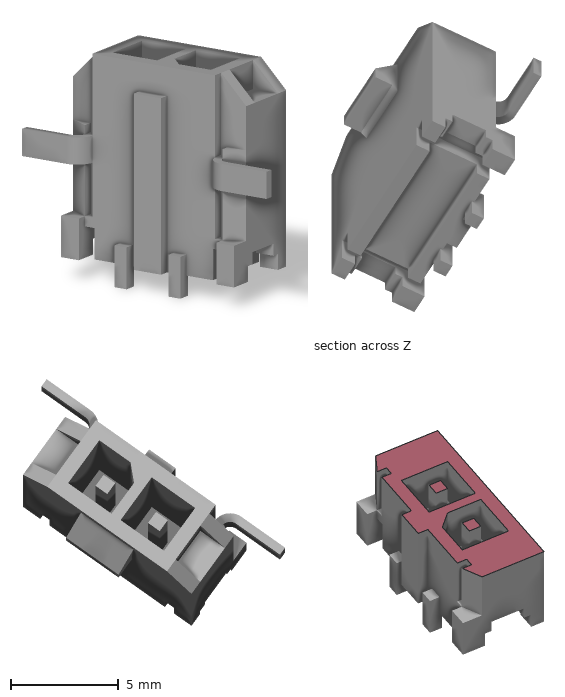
import cadquery as cq
import math


body_width = 9.65
body_height = 9.91
core_width = 6.85
core_depth = 3.88
wing_depth = 3.37
wing_width = (body_width - core_width) / 2
shoulder_z = body_height - wing_width
front_y = -4.4

shoulder_wall = 0.7
shoulder_pocket_depth = 1.97

pitch = 3.0
contact_width = 0.67
contact_depth = 0.64
cavity_width = 2.48
cavity_y = -1.95
cavity_floor_z = 2.0
key_chamfer = 0.7
post_top_z = 7.92
tail_top_z = 1.02
tail_bottom_z = -1.0

rib_width = 1.52

tab_span = 13.65
tab_thickness = 0.41
tab_front_y = -4.68
tab_bend_radius = 0.9
tab_bottom_z = 4.64
tab_height = 1.31

gusset_inner_x = core_width / 2 + tab_thickness
gusset_top_z = 6.4
foot_top_z = 2.0

notch_inner_x = 3.3
notch_height = 1.52
recess_back_y = -0.7
recess_front_y = -3.21
recess_height = 0.76
window_back_y = -1.06
window_front_y = -2.84
window_height = 1.35

latch_width = 3.0
latch_reach = 1.19
latch_top_z = 9.38
latch_lip_z = 8.14
latch_bottom_z = 7.38
latch_root_chamfer = 0.29


def box(x_range, y_range, z_range):
    """Axis-aligned block between the given limits."""
    sizes = [abs(end - start) for start, end in (x_range, y_range, z_range)]
    corner = [min(limits) for limits in (x_range, y_range, z_range)]
    return cq.Workplane("XY").box(*sizes, centered=False).translate(tuple(corner))


def prism(outline, z_range):
    """XY outline extruded between two heights."""
    bottom, top = z_range
    return cq.Workplane("XY").workplane(offset=bottom).polyline(outline).close().extrude(top - bottom)


def centred(width, middle=0.0):
    """Limits of a width placed evenly about a middle."""
    return (middle - width / 2, middle + width / 2)


def both_sides(right_half):
    """Right-hand feature together with its mirror image on the left."""
    return right_half.union(right_half.mirror("YZ"))


def make_housing():
    """Core with a shallower wing on each side; the wing shoulders slope at 45 degrees."""
    outer_x = body_width / 2
    inner_x = core_width / 2
    outline = [
        (-outer_x, 0),
        (-outer_x, shoulder_z),
        (-inner_x, body_height),
        (inner_x, body_height),
        (outer_x, shoulder_z),
        (outer_x, 0),
    ]
    wings = cq.Workplane("XZ").polyline(outline).close().extrude(wing_depth)
    core = box(centred(core_width), (-core_depth, 0), (0, body_height))
    return wings.union(core)


def make_shoulder_pockets():
    """Flat-floored pockets that leave a sloping wall at the back and front of each shoulder."""
    back_y = -shoulder_wall
    return both_sides(box(
        (core_width / 2, body_width / 2),
        (back_y - shoulder_pocket_depth, back_y),
        (shoulder_z, body_height),
    ))


def make_feet():
    """Wedge gussets outside the tab slots, standing on feet joined to the core by a web."""
    outer_x = body_width / 2
    gusset = prism(
        [(gusset_inner_x, -wing_depth), (outer_x, -wing_depth), (gusset_inner_x, -core_depth)],
        (0, gusset_top_z),
    )
    foot = box((gusset_inner_x, outer_x), (front_y, -wing_depth), (0, foot_top_z))
    web = box((core_width / 2, gusset_inner_x), (-core_depth, -wing_depth), (0, foot_top_z))
    return both_sides(gusset.union(foot).union(web))


def make_tabs():
    """L-shaped strips that leave the wings beside the core and bend outwards."""
    inner_radius = tab_bend_radius - tab_thickness
    leg_x = core_width / 2
    bend_x = leg_x + tab_bend_radius
    bend_y = tab_front_y + tab_bend_radius
    diagonal = math.sqrt(0.5)
    tab = (
        cq.Workplane("XY").workplane(offset=tab_bottom_z)
        .moveTo(leg_x, -wing_depth)
        .lineTo(leg_x, bend_y)
        .threePointArc(
            (bend_x - tab_bend_radius * diagonal, bend_y - tab_bend_radius * diagonal),
            (bend_x, tab_front_y),
        )
        .lineTo(tab_span / 2, tab_front_y)
        .lineTo(tab_span / 2, tab_front_y + tab_thickness)
        .lineTo(bend_x, tab_front_y + tab_thickness)
        .threePointArc(
            (bend_x - inner_radius * diagonal, bend_y - inner_radius * diagonal),
            (leg_x + tab_thickness, bend_y),
        )
        .lineTo(leg_x + tab_thickness, -wing_depth)
        .close()
        .extrude(tab_height)
    )
    return both_sides(tab)


def make_latch():
    """Ramp on the back with a sloping lead-in and a small chamfer under its root."""
    outline = [
        (0, latch_top_z),
        (latch_reach, latch_lip_z),
        (latch_reach, latch_bottom_z),
        (latch_root_chamfer, latch_bottom_z),
        (0, latch_bottom_z - latch_root_chamfer),
    ]
    return cq.Workplane("YZ").polyline(outline).close().extrude(latch_width / 2, both=True)


def make_cavities():
    """Two square cavities; the right one has its inner front corner filled as a key."""
    z_range = (cavity_floor_z, body_height)
    cavity = box(centred(cavity_width, pitch / 2), centred(cavity_width, cavity_y), z_range)
    key_x = (pitch - cavity_width) / 2
    key_y = cavity_y - cavity_width / 2
    key = prism([(key_x, key_y), (key_x + key_chamfer, key_y), (key_x, key_y + key_chamfer)], z_range)
    return both_sides(cavity).cut(key)


def make_contacts():
    """Rectangular post in each cavity and a solder tail below it at the front of the housing."""
    x_range = centred(contact_width, pitch / 2)
    post = box(x_range, centred(contact_depth, cavity_y), (cavity_floor_z, post_top_z))
    tail = box(x_range, (front_y, front_y + contact_depth), (tail_bottom_z, tail_top_z))
    return both_sides(post.union(tail))


def make_underside_cuts():
    """Recess across the full width, notches beside the feet and a window through each wing."""
    outer_x = body_width / 2
    recess = box(centred(body_width), (recess_front_y, recess_back_y), (0, recess_height))
    notch = box((notch_inner_x, gusset_inner_x), (front_y, 0), (0, notch_height))
    window = box((gusset_inner_x, outer_x), (window_front_y, window_back_y), (0, window_height))
    return recess.union(both_sides(notch.union(window)))


rib = box(centred(rib_width), (front_y, -core_depth), (0, shoulder_z))

result = (
    make_housing()
    .cut(make_shoulder_pockets())
    .union(make_feet())
    .cut(make_underside_cuts())
    .cut(make_cavities())
    .union(rib)
    .union(make_contacts())
    .union(make_tabs())
    .union(make_latch())
)